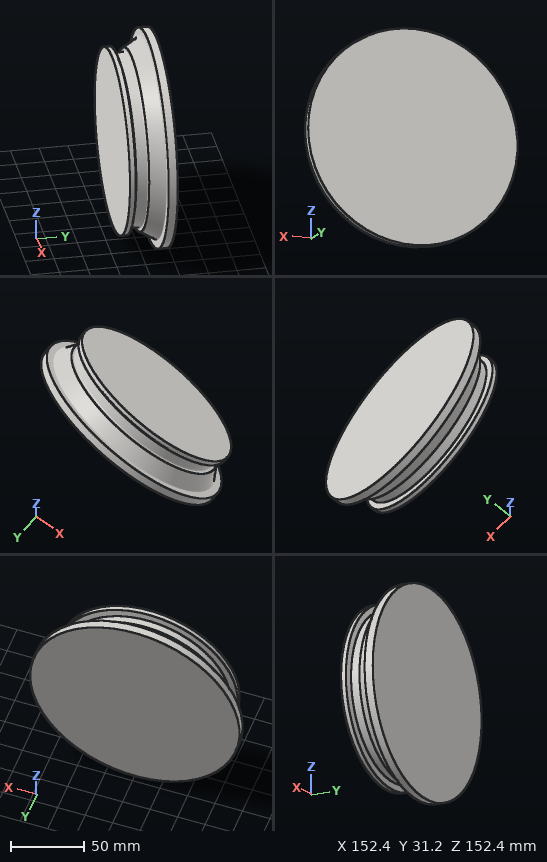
import cadquery as cq
import math

total_depth = 31.2
flange_thickness = 6.4
lip_thickness = 4.0
lip_bevel_depth = 1.4
cone_front = 13.7

flange_radius = 76.2
cone_large_radius = 70.0
neck_radius = 60.4
lip_radius = 65.0

cone_half_angle = 30.0
root_fillet = 0.9

flange_front = total_depth - flange_thickness
neck_front = lip_thickness + lip_bevel_depth
cone_depth = flange_front - cone_front
cone_small_radius = cone_large_radius - cone_depth * math.tan(math.radians(cone_half_angle))

body = (
    cq.Workplane("XY")
    .polyline([
        (0, 0),
        (lip_radius, 0),
        (lip_radius, lip_thickness),
        (neck_radius, neck_front),
        (neck_radius, cone_front),
        (cone_small_radius, cone_front),
        (cone_large_radius, flange_front),
        (flange_radius, flange_front),
        (flange_radius, total_depth),
        (0, total_depth),
    ])
    .close()
    .revolve(360, (0, 0, 0), (0, 1, 0))
)

neck_root = body.edges(cq.selectors.RadiusNthSelector(0)).edges(">Y")
cone_root = body.edges("%CIRCLE").edges(cq.selectors.RadiusNthSelector(-2))
result = body.newObject(neck_root.vals() + cone_root.vals()).fillet(root_fillet)